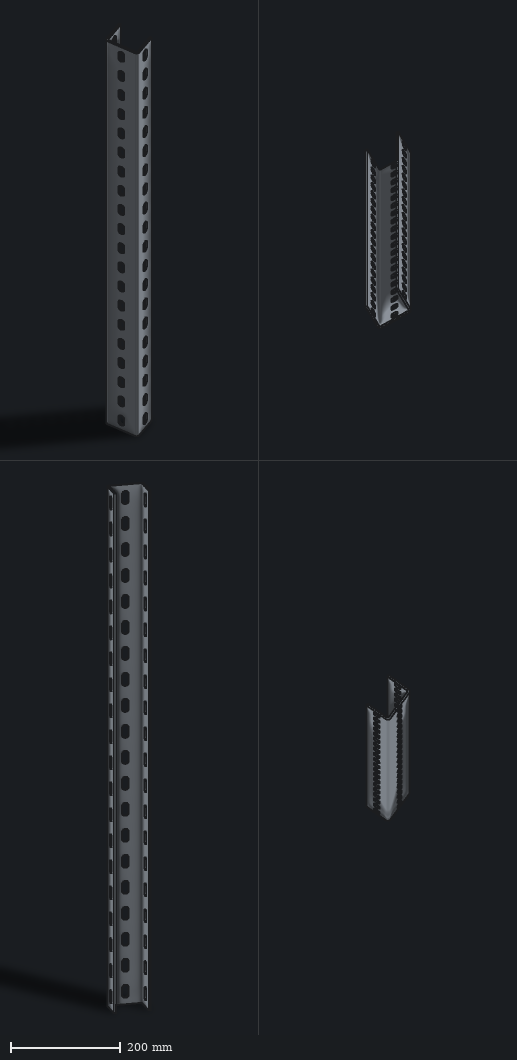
import cadquery as cq

width = 70.0
depth = 50.0
length = 1000.0

thickness = 4.0
inner_bend_radius = 2.0
outer_bend_radius = inner_bend_radius + thickness

slot_pitch = 50.0
slot_count = int(length / slot_pitch)
slot_length = 25.0
slot_width = 12.5
slot_angle = 90.0
flange_slot_y = (thickness + depth) / 2

slot_centres = [(0, (i + 0.5) * slot_pitch) for i in range(slot_count)]


def make_rounded_bar(bar_width, start_y, bend_radius):
    """Full-length bar from start_y to start_y + depth, its two -Y edges rounded."""
    return (
        cq.Workplane("XY")
        .center(0, start_y + depth / 2)
        .rect(bar_width, depth)
        .extrude(length)
        .edges("|Z and <Y")
        .fillet(bend_radius)
    )


def make_channel():
    """Outer bar hollowed from the open +Y side, leaving the bent sheet."""
    outer = make_rounded_bar(width, 0, outer_bend_radius)
    inner = make_rounded_bar(width - 2 * thickness, thickness, inner_bend_radius)
    return outer.cut(inner)


def make_slots(plane, half_reach):
    """Column of slot cutters reaching half_reach to each side of the plane."""
    return (
        cq.Workplane(plane)
        .pushPoints(slot_centres)
        .slot2D(slot_length, slot_width, slot_angle)
        .extrude(half_reach, both=True)
    )


web_slots = make_slots("XZ", thickness)
flange_slots = make_slots("YZ", width / 2).translate((0, flange_slot_y, 0))

result = make_channel().cut(web_slots).cut(flange_slots)